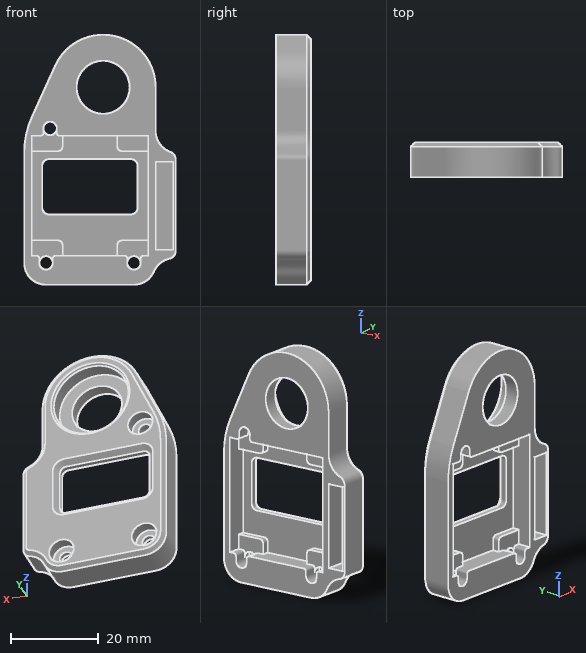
import cadquery as cq
import math


height = 57.0
width = 34.6
thickness = 8.0
ring_diameter = 24.0
ring_radius = ring_diameter / 2
ring_x = 18.0
ring_z = height - ring_radius
body_width = ring_x + ring_radius
corner_radius = 5.0
shoulder_radius = 20.0
shoulder_z = 30.05
back_chamfer = 1.0

tab_corner_radius = 2.0
tab_upper_corner_z = 28.45
tab_lower_corner_z = 7.85
tab_root_radius = 5.0

ring_hole_diameter = 12.0
counterbore_diameter = 18.0
counterbore_chamfer = 0.5
ring_lip = 3.55

pocket_width = 26.5
pocket_height = 27.3
pocket_depth = 5.0
pocket_x = body_width / 2
pocket_z = 20.3
pad_width = 7.0
pad_height = 3.5
pad_radius = 1.0
pad_face_depth = 3.3
window_width = 21.65
window_height = 12.55
window_z = 22.35
window_corner_radius = 1.5
window_chamfer = 1.3

screw_diameter = 3.0
screw_head_diameter = 6.0
screw_head_depth = 4.9
notch_flare_radius = 0.7
lower_screw_spacing = 20.0
upper_screw_x = 5.9
upper_screw_z = 35.6

slot_width = 4.0
slot_height = 20.0
slot_z = 18.0


def block(x, z, size_x, size_z, front, back):
    """Box centred on (x, z) that spans from Y = front to Y = back."""
    return cq.Workplane("XY").box(size_x, back - front, size_z).translate((x, (front + back) / 2, z))


def cylinder(x, z, diameter, front, back):
    """Cylinder along Y that spans from Y = front to Y = back."""
    return cq.Workplane("XZ", origin=(x, front, z)).circle(diameter / 2).extrude(front - back)


def on_circle(circle, degrees):
    """Point at the given angle on a circle (x, z, radius)."""
    x, z, radius = circle
    angle = math.radians(degrees)
    return (x + radius * math.cos(angle), z + radius * math.sin(angle))


def direction(start, end):
    """Angle in degrees of the line from the centre of one circle to the centre of another."""
    return math.degrees(math.atan2(end[1] - start[1], end[0] - start[0]))


def make_plate():
    """Plate with the ring end, the sloped left side and the tab."""
    left_corner = (corner_radius, corner_radius, corner_radius)
    right_corner = (body_width - corner_radius, corner_radius, corner_radius)
    shoulder = (shoulder_radius, shoulder_z, shoulder_radius)
    ring = (ring_x, ring_z, ring_radius)
    tab_corner_x = width - tab_corner_radius
    upper_corner = (tab_corner_x, tab_upper_corner_z, tab_corner_radius)
    lower_corner = (tab_corner_x, tab_lower_corner_z, tab_corner_radius)

    shoulder_to_ring = math.hypot(ring_x - shoulder_radius, ring_z - shoulder_z)
    slope_angle = direction(shoulder, ring)
    slope_angle += math.degrees(math.acos((shoulder_radius - ring_radius) / shoulder_to_ring))

    tab_reach = tab_root_radius + tab_corner_radius
    upper_root_x = body_width + tab_root_radius
    upper_root_z = tab_upper_corner_z + math.sqrt(tab_reach**2 - (upper_root_x - tab_corner_x) ** 2)
    upper_root = (upper_root_x, upper_root_z, tab_root_radius)
    upper_angle = direction(upper_root, upper_corner) % 360

    body_reach = tab_root_radius + corner_radius
    span = math.hypot(lower_corner[0] - right_corner[0], lower_corner[1] - right_corner[1])
    turn = math.acos((body_reach**2 + span**2 - tab_reach**2) / (2 * body_reach * span))
    body_angle = direction(right_corner, lower_corner) - math.degrees(turn)
    root_x, root_z = on_circle((right_corner[0], right_corner[1], body_reach), body_angle)
    lower_root = (root_x, root_z, tab_root_radius)
    lower_angle = direction(lower_root, lower_corner)

    gap_tolerance = 0.0005
    arcs = [
        (shoulder, 180, slope_angle),
        (ring, slope_angle, 0),
        (upper_root, 180, upper_angle),
        (upper_corner, upper_angle - 180, 0),
        (lower_corner, 0, lower_angle - 180),
        (lower_root, lower_angle, body_angle + 180),
        (right_corner, body_angle, -90),
        (left_corner, -90, -180),
    ]
    outline = cq.Workplane("XZ").moveTo(*on_circle(left_corner, 180))
    position = on_circle(left_corner, 180)
    for circle, start_angle, end_angle in arcs:
        start = on_circle(circle, start_angle)
        if math.dist(position, start) > gap_tolerance:
            outline = outline.lineTo(*start)
        position = on_circle(circle, end_angle)
        outline = outline.threePointArc(on_circle(circle, (start_angle + end_angle) / 2), position)
    return outline.close().extrude(-thickness)


def make_ring_hole():
    """Through hole with a counterbore from the back; the back rim is chamfered."""
    hole = cylinder(ring_x, ring_z, ring_hole_diameter, 0, thickness)
    counterbore = cylinder(ring_x, ring_z, counterbore_diameter, ring_lip, thickness)
    rim_start = thickness - counterbore_chamfer
    rim_end = thickness + counterbore_chamfer
    rim = cylinder(ring_x, ring_z, counterbore_diameter + 2 * counterbore_chamfer, rim_start, rim_end)
    return hole.union(counterbore).union(rim.faces("<Y").chamfer(counterbore_chamfer))


def make_window():
    """Rounded through opening; its back rim is chamfered."""
    opening = block(pocket_x, window_z, window_width, window_height, 0, thickness)
    opening = opening.edges("|Y").fillet(window_corner_radius)
    rim_width = window_width + 2 * window_chamfer
    rim_height = window_height + 2 * window_chamfer
    rim_start = thickness - window_chamfer
    rim_end = thickness + window_chamfer
    rim = block(pocket_x, window_z, rim_width, rim_height, rim_start, rim_end)
    rim = rim.edges("|Y").fillet(window_corner_radius + window_chamfer)
    return opening.union(rim.faces("<Y").chamfer(window_chamfer))


def make_pocket():
    """Rectangular pocket that leaves a raised pad in each corner of its floor."""
    pocket = block(pocket_x, pocket_z, pocket_width, pocket_height, 0, pocket_depth)
    for side_x in (-1, 1):
        for side_z in (-1, 1):
            pad = block(0, 0, 2 * pad_width, 2 * pad_height, pad_face_depth, pocket_depth)
            pad = pad.edges("|Y").fillet(pad_radius)
            corner_x = pocket_x + side_x * pocket_width / 2
            corner_z = pocket_z + side_z * pocket_height / 2
            pocket = pocket.cut(pad.translate((corner_x, 0, corner_z)))
    return pocket


def make_screw_hole(x, z, side):
    """Through hole with a screw head recess and a notch to the pocket edge.

    The pocket lies above the hole (side 1) or below it (side -1). The mouth of the
    notch flares out to the pocket edge with two round corners.
    """
    edge_z = pocket_z - side * pocket_height / 2
    flare = notch_flare_radius
    hole = cylinder(x, z, screw_diameter, 0, thickness)
    head = cylinder(x, z, screw_head_diameter, screw_head_depth, thickness)
    neck = block(x, (z + edge_z) / 2, screw_diameter, abs(edge_z - z), 0, pad_face_depth)
    mouth = block(x, edge_z - side * flare / 2, screw_diameter + 2 * flare, flare, 0, pad_face_depth)
    for side_x in (-1, 1):
        flare_x = x + side_x * (screw_diameter / 2 + flare)
        mouth = mouth.cut(cylinder(flare_x, edge_z - side * flare, 2 * flare, 0, pad_face_depth))
    return hole.union(head).union(neck).union(mouth)


plate = make_plate().faces(">Y").edges().chamfer(back_chamfer)
plate = plate.cut(make_ring_hole()).cut(make_window())

lower_screw_x = corner_radius
lower_screw_z = corner_radius
slot_x = body_width + slot_width / 2

result = (
    plate.cut(make_pocket())
    .cut(make_screw_hole(lower_screw_x, lower_screw_z, 1))
    .cut(make_screw_hole(lower_screw_x + lower_screw_spacing, lower_screw_z, 1))
    .cut(make_screw_hole(upper_screw_x, upper_screw_z, -1))
    .cut(block(slot_x, slot_z, slot_width, slot_height, 0, pocket_depth))
)